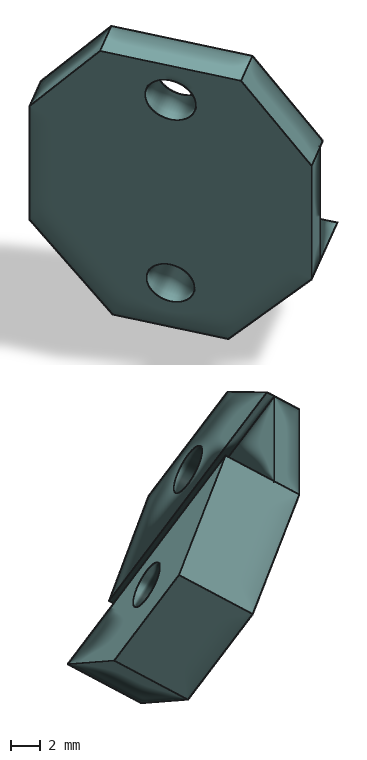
import cadquery as cq

width = 20.0
height = 24.19
top_width = 10.0
bottom_width = 8.2
top_bevel_height = 6.5
bottom_bevel_height = 7.16

top_depth = 2.6
middle_depth = 2.0
bottom_depth = 5.92

upper_hole_diameter = 3.6
lower_hole_diameter = 3.4
hole_spacing = 16.95
lower_hole_z = 4.08
upper_hole_z = lower_hole_z + hole_spacing

lower_step_z = bottom_bevel_height
upper_step_z = height - top_bevel_height


def band(lower_z, lower_width, upper_z, upper_width, depth):
    """Symmetric trapezoid in XZ, extruded back from the front face."""
    outline = [
        (-lower_width / 2, lower_z),
        (lower_width / 2, lower_z),
        (upper_width / 2, upper_z),
        (-upper_width / 2, upper_z),
    ]
    return cq.Workplane("XZ").polyline(outline).close().extrude(-depth)


def through_hole(center_z, diameter):
    """Cutter along Y that is long enough for the deepest band."""
    return cq.Workplane("XZ").center(0, center_z).circle(diameter / 2).extrude(-bottom_depth)


foot = band(0, bottom_width, lower_step_z, width, bottom_depth)
web = band(lower_step_z, width, upper_step_z, width, middle_depth)
head = band(upper_step_z, width, height, top_width, top_depth)
body = foot.union(web).union(head)

result = body.cut(through_hole(upper_hole_z, upper_hole_diameter)).cut(
    through_hole(lower_hole_z, lower_hole_diameter)
)